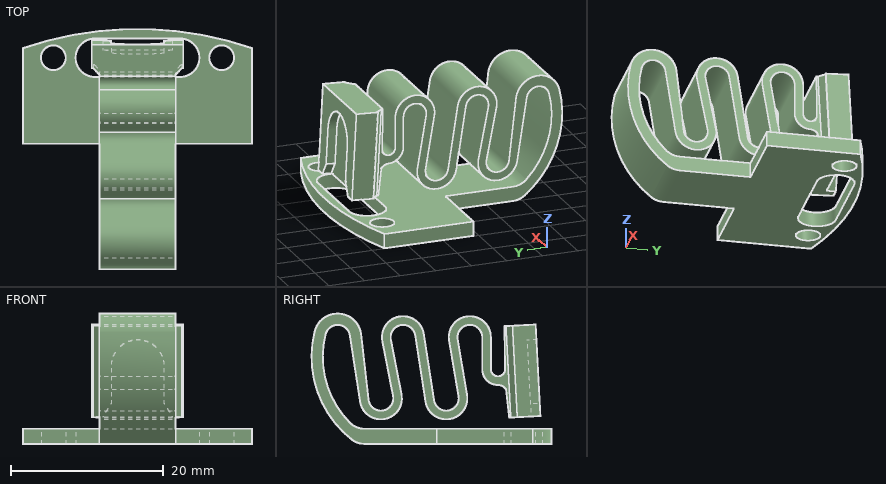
import cadquery as cq
import math

plate_width = 30.0
plate_thickness = 2.0
plate_front_y = -15.03
plate_corner_y = -2.52
hole_diameter = 3.2
hole_offset_x = 11.0
hole_y = -3.77
slot_length = 16.15
slot_width = 5.0

strip_width = 10.0
strip_thickness = 1.15
arm_thickness = 1.5
bend_inner_radius = 1.6
bend_outer_radius = bend_inner_radius + strip_thickness
arm_bend_radius = bend_inner_radius + arm_thickness
upper_bend_z = 17.08 - arm_bend_radius
lower_bend_z = 5.98
first_upper_y = -10.72
second_upper_y = -19.47
first_lower_y = -13.8
second_lower_y = -22.35

front_y = -31.45
arm_outer_radius = 13.7
arm_inner_radius = arm_outer_radius - arm_thickness
arm_center = (front_y + arm_outer_radius, 11.4)
heel_radius = 2.6

pad_width = 12.0
pad_height = 12.0
pad_body_depth = 3.05
pad_depth = 3.9
pad_shoulder = 0.22
pad_tilt = 3.0
pad_pivot = (-1.48, 3.65)
recess_radius = 3.45
recess_center_height = 6.6
recess_mouth_flare = 1.07
recess_mouth_height = 1.73
recess_depth = 1.25

root_thickness = 0.22
root_bend_z = 9.78
root_gap_radius = 0.9
root_foot = (-6.0, 7.15)


def polar(center, radius, angle):
    return (center[0] + radius * math.cos(angle), center[1] + radius * math.sin(angle))


def direction(start, end):
    return math.atan2(end[1] - start[1], end[0] - start[0])


def leg(upper, upper_radius, lower, lower_radius, upper_side):
    """Ends of the straight line that crosses between an upper and a lower bend.

    upper_side is 1 to touch the -Y side of the upper bend and -1 to touch its +Y side.
    """
    lean = math.acos((upper_radius + lower_radius) / math.dist(upper, lower))
    angle = direction(upper, lower) - upper_side * lean
    return polar(upper, upper_radius, angle), polar(lower, lower_radius, angle + math.pi)


def heel(arm_radius, floor_z):
    """Points of the rounded heel between a level face and the arm."""
    center_z = floor_z + heel_radius
    drop = arm_center[1] - center_z
    center = (arm_center[0] - math.sqrt((arm_radius - heel_radius) ** 2 - drop**2), center_z)
    arm_angle = direction(arm_center, center)
    middle_angle = (arm_angle - 0.5 * math.pi) / 2
    flat_end = (center[0], floor_z)
    return flat_end, polar(center, heel_radius, middle_angle), polar(center, heel_radius, arm_angle)


def pad_point(depth, height):
    """YZ position of a point measured from the pad's lower rear edge."""
    tilt = math.radians(pad_tilt)
    y = pad_pivot[0] - depth * math.cos(tilt) - height * math.sin(tilt)
    z = pad_pivot[1] - depth * math.sin(tilt) + height * math.cos(tilt)
    return y, z


def make_plate():
    half_width = plate_width / 2
    outline = (
        cq.Workplane("XY")
        .moveTo(-half_width, plate_front_y)
        .lineTo(half_width, plate_front_y)
        .lineTo(half_width, plate_corner_y)
        .threePointArc((0, 0), (-half_width, plate_corner_y))
        .close()
    )
    plate = outline.extrude(plate_thickness)
    holes = (
        cq.Workplane("XY")
        .pushPoints([(-hole_offset_x, hole_y), (hole_offset_x, hole_y)])
        .circle(hole_diameter / 2)
        .extrude(plate_thickness)
    )
    slot = cq.Workplane("XY").center(0, hole_y).slot2D(slot_length, slot_width).extrude(plate_thickness)
    return plate.cut(holes).cut(slot)


def make_spring():
    inner = bend_inner_radius
    outer = bend_outer_radius
    upper_1 = (first_upper_y, upper_bend_z)
    upper_2 = (second_upper_y, upper_bend_z)
    lower_1 = (first_lower_y, lower_bend_z)
    lower_2 = (second_lower_y, lower_bend_z)

    rise = upper_bend_z - arm_center[1]
    reach = math.sqrt((arm_outer_radius - arm_bend_radius) ** 2 - rise**2)
    upper_3 = (arm_center[0] - reach, upper_bend_z)
    arm_top_angle = direction(arm_center, upper_3)

    def crown(center, radius):
        return center[0], center[1] + radius

    def trough(center, radius):
        return center[0], center[1] - radius

    outer_1, trough_in_1 = leg(upper_1, outer, lower_1, inner, 1)
    inner_1, trough_out_1 = leg(upper_1, inner, lower_1, outer, 1)
    outer_2, trough_in_2 = leg(upper_2, outer, lower_1, inner, -1)
    inner_2, trough_out_2 = leg(upper_2, inner, lower_1, outer, -1)
    outer_3, trough_in_3 = leg(upper_2, outer, lower_2, inner, 1)
    inner_3, trough_out_3 = leg(upper_2, inner, lower_2, outer, 1)
    outer_4, trough_in_4 = leg(upper_3, arm_bend_radius, lower_2, inner, -1)
    inner_4, trough_out_4 = leg(upper_3, inner, lower_2, outer, -1)

    heel_outer = heel(arm_outer_radius, 0)
    heel_inner = heel(arm_inner_radius, plate_thickness)
    arm_middle_angle = math.pi + 0.2

    leg_y = first_upper_y + outer
    root_bend = (leg_y + root_gap_radius, root_bend_z)
    root_outer_radius = root_gap_radius + strip_thickness
    root_turn = polar(root_bend, root_outer_radius, -0.75 * math.pi)

    outline = (
        cq.Workplane("YZ", origin=(-strip_width / 2, 0, 0))
        .moveTo(*pad_point(pad_depth, pad_height))
        .lineTo(*pad_point(pad_depth + root_thickness, pad_height))
        .lineTo(root_bend[0] + root_gap_radius, root_bend_z)
        .threePointArc(trough(root_bend, root_gap_radius), (leg_y, root_bend_z))
        .lineTo(leg_y, upper_bend_z)
        .threePointArc(crown(upper_1, outer), outer_1)
        .lineTo(*trough_in_1)
        .threePointArc(trough(lower_1, inner), trough_in_2)
        .lineTo(*outer_2)
        .threePointArc(crown(upper_2, outer), outer_3)
        .lineTo(*trough_in_3)
        .threePointArc(trough(lower_2, inner), trough_in_4)
        .lineTo(*outer_4)
        .threePointArc(crown(upper_3, arm_bend_radius), polar(upper_3, arm_bend_radius, arm_top_angle))
        .threePointArc(polar(arm_center, arm_outer_radius, arm_middle_angle), heel_outer[2])
        .threePointArc(heel_outer[1], heel_outer[0])
        .lineTo(plate_front_y, 0)
        .lineTo(plate_front_y, plate_thickness)
        .lineTo(*heel_inner[0])
        .threePointArc(heel_inner[1], heel_inner[2])
        .threePointArc(
            polar(arm_center, arm_inner_radius, arm_middle_angle),
            polar(upper_3, inner, arm_top_angle),
        )
        .threePointArc(crown(upper_3, inner), inner_4)
        .lineTo(*trough_out_4)
        .threePointArc(trough(lower_2, outer), trough_out_3)
        .lineTo(*inner_3)
        .threePointArc(crown(upper_2, inner), inner_2)
        .lineTo(*trough_out_2)
        .threePointArc(trough(lower_1, outer), trough_out_1)
        .lineTo(*inner_1)
        .threePointArc(crown(upper_1, inner), (first_upper_y + inner, upper_bend_z))
        .lineTo(first_upper_y + inner, root_bend_z)
        .threePointArc(root_turn, trough(root_bend, root_outer_radius))
        .tangentArcPoint(root_foot, relative=False)
        .lineTo(*pad_point(pad_depth + root_thickness, 0))
        .lineTo(*pad_point(pad_depth, 0))
        .close()
    )
    return outline.extrude(strip_width)


def make_pad():
    half_width = pad_width / 2
    shoulder_x = half_width - pad_shoulder
    neck_x = strip_width / 2
    right_side = [
        (half_width, 0),
        (half_width, -pad_body_depth),
        (shoulder_x, -pad_body_depth),
        (neck_x, -pad_depth),
    ]
    left_side = [(-x, y) for x, y in reversed(right_side)]
    body = cq.Workplane("XY").polyline(right_side + left_side).close().extrude(pad_height)

    mouth_x = recess_radius + recess_mouth_flare
    recess = (
        cq.Workplane("XZ")
        .moveTo(-recess_radius, recess_mouth_height)
        .lineTo(-mouth_x, 0)
        .lineTo(mouth_x, 0)
        .lineTo(recess_radius, recess_mouth_height)
        .lineTo(recess_radius, recess_center_height)
        .threePointArc((0, recess_center_height + recess_radius), (-recess_radius, recess_center_height))
        .close()
        .extrude(recess_depth)
    )
    pad = body.cut(recess).rotate((0, 0, 0), (1, 0, 0), pad_tilt)
    return pad.translate((0, *pad_pivot))


result = make_plate().union(make_spring()).union(make_pad())